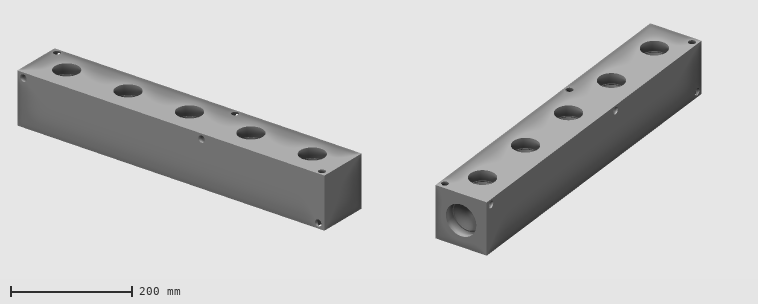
import cadquery as cq
import math

LENGTH = 635.0
SECTION = 101.5

POINT_ANGLE = 120.0
ENTRY_DEPTH = 20.0
DRILL_DEPTH = 21.0

TOP_ENTRY_DIAMETER = 48.0
TOP_DRILL_DIAMETER = 44.0
TOP_PORT_COUNT = 5
TOP_PORT_PITCH = LENGTH / TOP_PORT_COUNT

END_ENTRY_DIAMETER = 60.5
END_DRILL_DIAMETER = 56.0

MOUNT_DIAMETER = 13.5
EDGE_DISTANCE = 10.0
END_DISTANCE = 13.0
MIDDLE_MOUNT_X = 381.0


def stepped_port(entry_diameter, drill_diameter):
    """Cutter with its mouth at the origin, pointing down along -Z."""
    entry_radius = entry_diameter / 2
    drill_radius = drill_diameter / 2
    point_depth = drill_radius / math.tan(math.radians(POINT_ANGLE / 2))
    profile = [
        (0, 0),
        (entry_radius, 0),
        (entry_radius, -ENTRY_DEPTH),
        (drill_radius, -ENTRY_DEPTH),
        (drill_radius, -DRILL_DEPTH),
        (0, -DRILL_DEPTH - point_depth),
    ]
    return cq.Workplane("XZ").polyline(profile).close().revolve(360, (0, 0), (0, 1))


block = cq.Workplane("XY").box(LENGTH, SECTION, SECTION, centered=False)

top_port = stepped_port(TOP_ENTRY_DIAMETER, TOP_DRILL_DIAMETER)
for index in range(TOP_PORT_COUNT):
    port_x = (index + 0.5) * TOP_PORT_PITCH
    block = block.cut(top_port.translate((port_x, SECTION / 2, SECTION)))

end_port = stepped_port(END_ENTRY_DIAMETER, END_DRILL_DIAMETER)
end_port = end_port.rotate((0, 0, 0), (0, 1, 0), -90)
block = block.cut(end_port.translate((0, SECTION / 2, SECTION / 2)))

mount_positions = [
    (END_DISTANCE, SECTION - EDGE_DISTANCE),
    (MIDDLE_MOUNT_X, SECTION - EDGE_DISTANCE),
    (LENGTH - END_DISTANCE, EDGE_DISTANCE),
]
mount_radius = MOUNT_DIAMETER / 2
vertical_holes = cq.Workplane("XY").pushPoints(mount_positions).circle(mount_radius).extrude(SECTION)
cross_holes = cq.Workplane("XZ").pushPoints(mount_positions).circle(mount_radius).extrude(-SECTION)

result = block.cut(vertical_holes).cut(cross_holes)